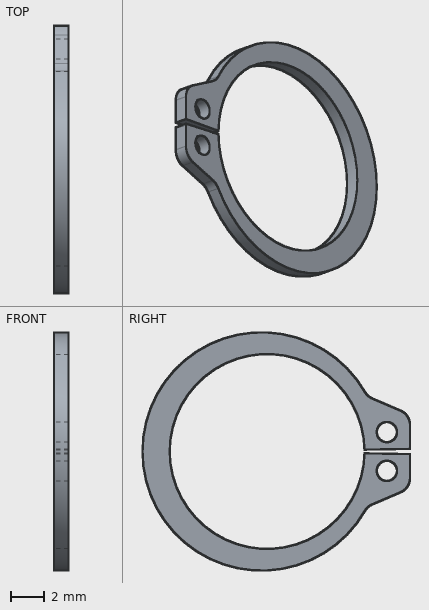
import cadquery as cq
import math

thickness = 0.89
bore_radius = 5.85
rim_radius = 7.17
rim_center_y = -0.33

lug_tip_y = 8.6
lug_tip_height = 2.215
flank_angle = 23.2
lug_corner_radius = 0.95
lug_root_radius = 0.95

gap_half_angle = 1.0
gap_overrun = 1.0

hole_diameter = 1.2
hole_y = 7.2
hole_z = 1.165


def plane_at_back():
    """YZ plane on the back face, so that extrusions along +X fill the thickness."""
    return cq.Workplane("YZ", origin=(-thickness / 2, 0, 0))


def disc(radius, center_y):
    return plane_at_back().center(center_y, 0).circle(radius).extrude(thickness)


def edges_between(y_min, y_max):
    """Selects the edges whose centres lie between two Y positions."""
    return cq.selectors.BoxSelector((-thickness, y_min, -rim_radius), (thickness, y_max, rim_radius))


def lug_block():
    """Both lugs as one tapered block reaching inwards under the rim."""
    inner_height = lug_tip_height + lug_tip_y * math.tan(math.radians(flank_angle))
    outline = [
        (0, -inner_height),
        (lug_tip_y, -lug_tip_height),
        (lug_tip_y, lug_tip_height),
        (0, inner_height),
    ]
    block = plane_at_back().polyline(outline).close().extrude(thickness)
    return block.edges("|X and >Y").fillet(lug_corner_radius)


def gap_wedge():
    """Wedge with its apex on the bore axis, running out past the lug tips."""
    reach = lug_tip_y + gap_overrun
    half_width = reach * math.tan(math.radians(gap_half_angle))
    outline = [(0, 0), (reach, -half_width), (reach, half_width)]
    return plane_at_back().polyline(outline).close().extrude(thickness)


def plier_holes():
    centers = [(hole_y, side * hole_z) for side in (-1, 1)]
    return plane_at_back().pushPoints(centers).circle(hole_diameter / 2).extrude(thickness)


flank_meets_rim = edges_between(bore_radius, hole_y)
blank = disc(rim_radius, rim_center_y).union(lug_block())
blank = blank.edges("|X").edges(flank_meets_rim).fillet(lug_root_radius)

result = blank.cut(disc(bore_radius, 0)).cut(gap_wedge()).cut(plier_holes())